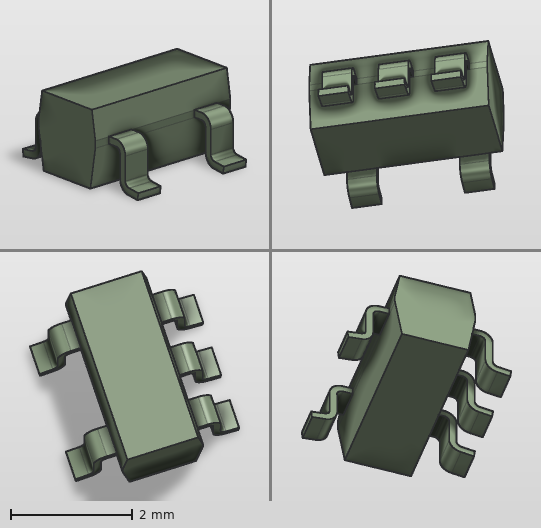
import cadquery as cq
import math

BODY_LENGTH = 3.0
BODY_WIDTH = 1.4
BODY_BOTTOM = 0.05
BODY_TOP = 1.45
DRAFT_ANGLE = math.radians(9.3)

LEAD_SPAN = 2.85
LEAD_WIDTH = 0.5
LEAD_PITCH = 0.95
LEAD_THICKNESS = 0.13
LEAD_TOP = 0.93
LEG_OUTER_X = 1.105
INNER_RADIUS = 0.1
FOOT_ANGLE = math.radians(7)

LEAD_BOTTOM = LEAD_TOP - LEAD_THICKNESS
OUTER_RADIUS = INNER_RADIUS + LEAD_THICKNESS
LEG_INNER_X = LEG_OUTER_X - LEAD_THICKNESS

SHOULDER_X = LEG_OUTER_X - OUTER_RADIUS
SHOULDER_Z = LEAD_TOP - OUTER_RADIUS

TIP_X = LEAD_SPAN / 2
FOOT_X = LEG_OUTER_X + INNER_RADIUS
FOOT_LENGTH = (TIP_X - FOOT_X) / math.cos(FOOT_ANGLE) + INNER_RADIUS * math.tan(FOOT_ANGLE)
FOOT_Z = OUTER_RADIUS * math.cos(FOOT_ANGLE) + FOOT_LENGTH * math.sin(FOOT_ANGLE)


def on_arc(center_x, center_z, radius, angle):
    """Point on a bend, with the angle measured from +X toward +Z."""
    return (center_x + radius * math.cos(angle), center_z + radius * math.sin(angle))


def along_foot(point):
    """Tip corner reached by running down the sloping foot from the end of its bend."""
    x, z = point
    return (x + FOOT_LENGTH * math.cos(FOOT_ANGLE), z - FOOT_LENGTH * math.sin(FOOT_ANGLE))


def extrude_along_y(profile, length, center_y):
    """Extrude an XZ profile by the given length, centred on center_y."""
    return profile.extrude(length / 2, both=True).translate((0, center_y, 0))


def make_body():
    """Six-sided drafted block with an upright band level with the shoulders."""
    half_width = BODY_WIDTH / 2
    top_half = half_width - (BODY_TOP - LEAD_TOP) * math.tan(DRAFT_ANGLE)
    bottom_half = half_width - (LEAD_BOTTOM - BODY_BOTTOM) * math.tan(DRAFT_ANGLE)
    profile = (
        cq.Workplane("XZ")
        .moveTo(-bottom_half, BODY_BOTTOM)
        .lineTo(bottom_half, BODY_BOTTOM)
        .lineTo(half_width, LEAD_BOTTOM)
        .lineTo(half_width, LEAD_TOP)
        .lineTo(top_half, BODY_TOP)
        .lineTo(-top_half, BODY_TOP)
        .lineTo(-half_width, LEAD_TOP)
        .lineTo(-half_width, LEAD_BOTTOM)
        .close()
    )
    return extrude_along_y(profile, BODY_LENGTH, 0)


def make_lead(side, center_y):
    """Gull-wing lead butted against the body; side is +1 for +X and -1 for -X."""
    shoulder_mid = math.radians(45)
    foot_end = -math.pi / 2 - FOOT_ANGLE
    foot_mid = (-math.pi + foot_end) / 2
    foot_upper = on_arc(FOOT_X, FOOT_Z, INNER_RADIUS, foot_end)
    foot_lower = on_arc(FOOT_X, FOOT_Z, OUTER_RADIUS, foot_end)
    profile = (
        cq.Workplane("XZ")
        .moveTo(BODY_WIDTH / 2, LEAD_TOP)
        .lineTo(SHOULDER_X, LEAD_TOP)
        .threePointArc(
            on_arc(SHOULDER_X, SHOULDER_Z, OUTER_RADIUS, shoulder_mid),
            (LEG_OUTER_X, SHOULDER_Z),
        )
        .lineTo(LEG_OUTER_X, FOOT_Z)
        .threePointArc(on_arc(FOOT_X, FOOT_Z, INNER_RADIUS, foot_mid), foot_upper)
        .lineTo(*along_foot(foot_upper))
        .lineTo(*along_foot(foot_lower))
        .lineTo(*foot_lower)
        .threePointArc(
            on_arc(FOOT_X, FOOT_Z, OUTER_RADIUS, foot_mid),
            (LEG_INNER_X, FOOT_Z),
        )
        .lineTo(LEG_INNER_X, SHOULDER_Z)
        .threePointArc(
            on_arc(SHOULDER_X, SHOULDER_Z, INNER_RADIUS, shoulder_mid),
            (SHOULDER_X, LEAD_BOTTOM),
        )
        .lineTo(BODY_WIDTH / 2, LEAD_BOTTOM)
        .close()
    )
    lead = extrude_along_y(profile, LEAD_WIDTH, center_y)
    if side < 0:
        lead = lead.mirror("YZ")
    return lead


body = make_body()

lead_places = [
    (-1, -LEAD_PITCH),
    (-1, 0),
    (-1, LEAD_PITCH),
    (1, -LEAD_PITCH),
    (1, LEAD_PITCH),
]
leads = [make_lead(side, center_y) for side, center_y in lead_places]

result = cq.Compound.makeCompound([body.val(), *[lead.val() for lead in leads]])